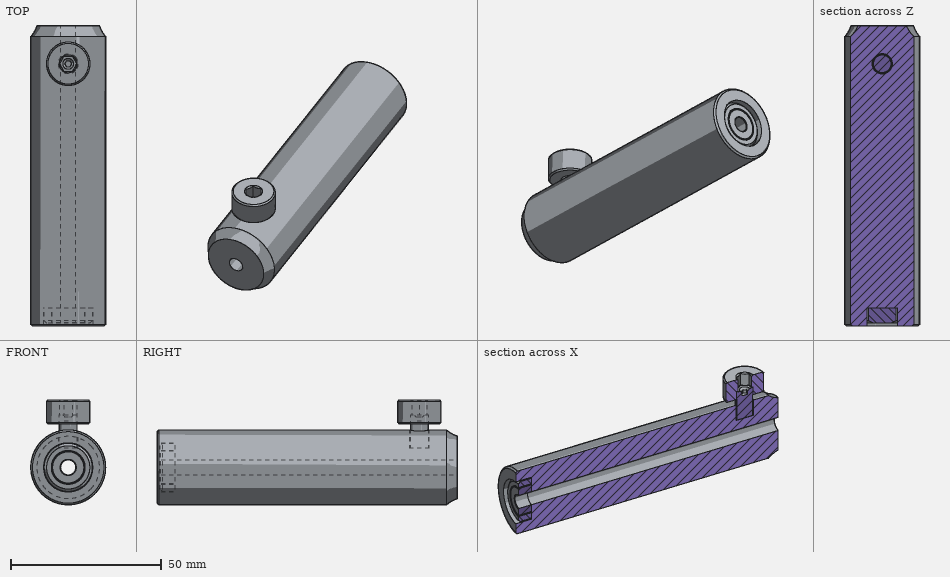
import cadquery as cq
import math

HOUSING_LENGTH = 100.0
HOUSING_RADIUS = 12.5
BASE_CHAMFER = 0.6
NOSE_LENGTH = 3.7
NOSE_END_RADIUS = 10.4
NOSE_SAG = 0.2
THROUGH_RADIUS = 2.5

BASE_SETBACK = 1.0
BASE_DEPTH = 5.0
RING_RADIUS = 8.0
RING_CLEARANCE = 0.2
RING_CHAMFER = 0.8
BUSH_RADIUS = 5.4
BUSH_CLEARANCE = 0.25
BUSH_CHAMFER = 0.2

SCREW_FROM_NOSE = 12.7
SCREW_RADIUS = 3.0
SCREW_HOLE_RADIUS = 3.3
SCREW_TIP_Z = 6.5
SCREW_SOCKET_FLATS = 2.0
SCREW_SOCKET_DEPTH = 2.0
SCREW_MOUTH_RADIUS = 1.8

KNOB_DIAMETER = 14.5
KNOB_HEIGHT = 8.0
KNOB_TOP_Z = 22.5
KNOB_CHAMFER = 0.5
KNOB_SOCKET_FLATS = 5.0
KNOB_SOCKET_DEPTH = 5.0
KNOB_MOUTH_RADIUS = 3.0

HEX_SIDES = 6

BASE_Y = -HOUSING_LENGTH / 2
NOSE_Y = HOUSING_LENGTH / 2
SEAT_Y = BASE_Y + BASE_SETBACK
SCREW_Y = NOSE_Y - SCREW_FROM_NOSE
SCREW_TOP_Z = KNOB_TOP_Z - KNOB_SOCKET_DEPTH


def rod_along_y(radius, start_y, length):
    """Cylinder on the housing axis, running toward +Y from start_y."""
    return cq.Workplane("XZ", origin=(0, start_y, 0)).circle(radius).extrude(-length)


def rod_along_z(radius, bottom, top):
    """Cylinder on the screw axis."""
    return cq.Workplane("XY", origin=(0, SCREW_Y, bottom)).circle(radius).extrude(top - bottom)


def hex_socket(flats, mouth_radius, top, depth):
    """Hexagonal socket with corners on X and a 45 degree conical mouth."""
    corner_diameter = flats / math.cos(math.pi / HEX_SIDES)
    socket = cq.Workplane("XY", origin=(0, SCREW_Y, top)).polygon(HEX_SIDES, corner_diameter).extrude(-depth)
    mouth = cq.Solid.makeCone(mouth_radius, 0, mouth_radius, pnt=(0, SCREW_Y, top), dir=(0, 0, -1))
    return socket.union(cq.Workplane(mouth))


def make_housing():
    """Bar with a slightly concave conical nose, a seat for the base parts and a blind screw hole."""
    bar = (
        cq.Workplane("XY")
        .moveTo(0, BASE_Y)
        .lineTo(HOUSING_RADIUS - BASE_CHAMFER, BASE_Y)
        .lineTo(HOUSING_RADIUS, BASE_Y + BASE_CHAMFER)
        .lineTo(HOUSING_RADIUS, NOSE_Y - NOSE_LENGTH)
        .sagittaArc((NOSE_END_RADIUS, NOSE_Y), NOSE_SAG)
        .lineTo(0, NOSE_Y)
        .close()
        .revolve(360, (0, 0, 0), (0, 1, 0))
    )
    seat = rod_along_y(RING_RADIUS + RING_CLEARANCE, BASE_Y, BASE_SETBACK + BASE_DEPTH)
    through_hole = rod_along_y(THROUGH_RADIUS, BASE_Y, HOUSING_LENGTH)
    screw_hole = rod_along_z(SCREW_HOLE_RADIUS, SCREW_TIP_Z, HOUSING_RADIUS)
    return bar.cut(seat).cut(through_hole).cut(screw_hole)


def make_base_ring():
    """Outer ring in the seat, chamfered on its exposed rim."""
    ring = rod_along_y(RING_RADIUS, SEAT_Y, BASE_DEPTH).faces("<Y").chamfer(RING_CHAMFER)
    return ring.cut(rod_along_y(BUSH_RADIUS + BUSH_CLEARANCE, SEAT_Y, BASE_DEPTH))


def make_bush():
    """Bush inside the base ring, chamfered on its rim and at the mouth of its hole."""
    bush = rod_along_y(BUSH_RADIUS, SEAT_Y, BASE_DEPTH).faces("<Y").chamfer(BUSH_CHAMFER)
    bush = bush.cut(rod_along_y(THROUGH_RADIUS, SEAT_Y, BASE_DEPTH))
    hole_mouth = bush.faces("<Y").edges(cq.selectors.RadiusNthSelector(0))
    return hole_mouth.chamfer(BUSH_CHAMFER)


def make_knob():
    """Round knob with a hexagonal socket that opens into the bore for the clamp screw."""
    bottom = KNOB_TOP_Z - KNOB_HEIGHT
    knob = rod_along_z(KNOB_DIAMETER / 2, bottom, KNOB_TOP_Z).faces("<Z or >Z").chamfer(KNOB_CHAMFER)
    screw_bore = rod_along_z(SCREW_RADIUS, bottom, SCREW_TOP_Z)
    socket = hex_socket(KNOB_SOCKET_FLATS, KNOB_MOUTH_RADIUS, KNOB_TOP_Z, KNOB_SOCKET_DEPTH)
    return knob.cut(screw_bore).cut(socket)


def make_clamp_screw():
    """Plain shank that ends at the floor of the knob socket, with a small socket of its own."""
    screw = rod_along_z(SCREW_RADIUS, SCREW_TIP_Z, SCREW_TOP_Z)
    return screw.cut(hex_socket(SCREW_SOCKET_FLATS, SCREW_MOUTH_RADIUS, SCREW_TOP_Z, SCREW_SOCKET_DEPTH))


housing = make_housing()
base_ring = make_base_ring()
bush = make_bush()
knob = make_knob()
clamp_screw = make_clamp_screw()

result = cq.Compound.makeCompound(
    [housing.val(), base_ring.val(), bush.val(), knob.val(), clamp_screw.val()]
)